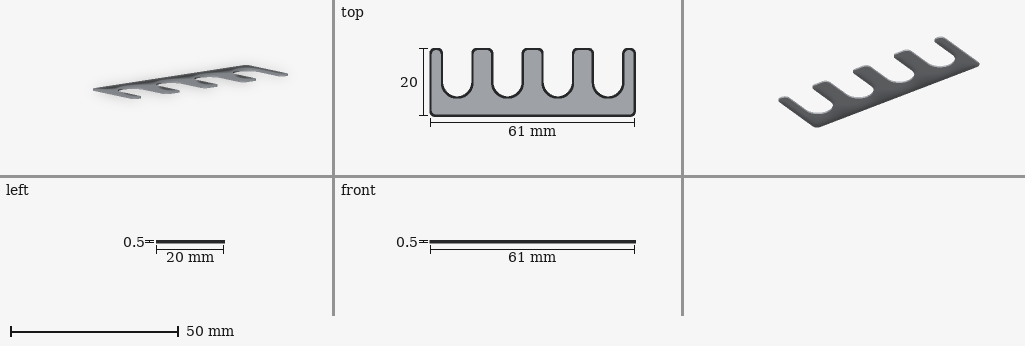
import cadquery as cq

length = 61.0
depth = 20.0
thickness = 0.5
corner_radius = 1.5

slot_count = 4
slot_width = 9.0
slot_pitch = 15.0
slot_radius = slot_width / 2
slot_center_y = 0.0


def slot_cutter(center_x):
    """Round-bottomed slot that runs out through the +Y edge."""
    round_bottom = (
        cq.Workplane("XY")
        .center(center_x, slot_center_y)
        .circle(slot_radius)
        .extrude(thickness)
    )
    straight_run = (
        cq.Workplane("XY")
        .center(center_x, slot_center_y + depth / 2)
        .rect(slot_width, depth)
        .extrude(thickness)
    )
    return round_bottom.union(straight_run)


plate = cq.Workplane("XY").rect(length, depth).extrude(thickness)

for index in range(slot_count):
    slot_x = (index - (slot_count - 1) / 2) * slot_pitch
    plate = plate.cut(slot_cutter(slot_x))

base_corners = plate.faces("<Y").edges("|Z")
finger_corners = plate.faces(">Y").edges("|Z")
result = plate.newObject(base_corners.vals() + finger_corners.vals()).fillet(corner_radius)